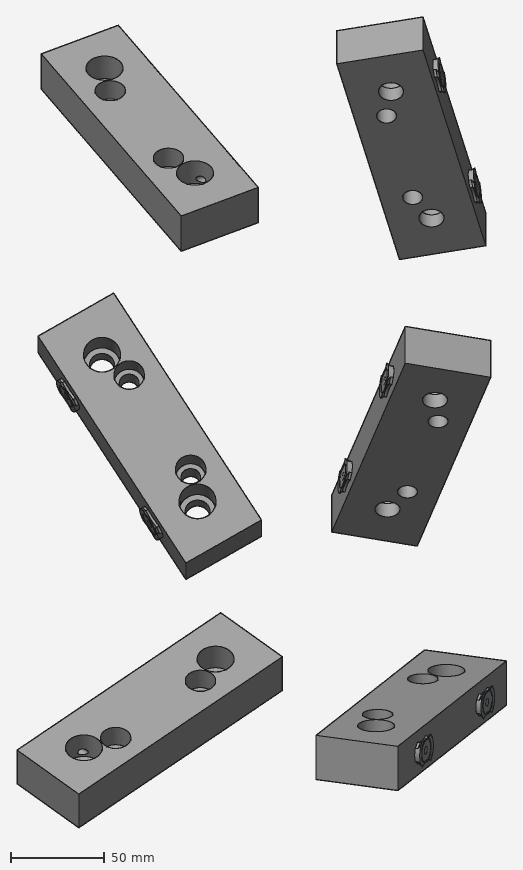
import cadquery as cq
import math

LENGTH = 152.4
BLOCK_WIDTH = 47.5
HEIGHT = 25.1
BACK_Y = BLOCK_WIDTH / 2
TOP_Z = HEIGHT / 2

LARGE_HOLE_X = 49.2
LARGE_HOLE_Y = 0.0
LARGE_HOLE_DIAMETER = 13.4
LARGE_BORE_DIAMETER = 19.8
LARGE_BORE_DEPTH = 16.0
SMALL_HOLE_X = 31.7
SMALL_HOLE_Y = -6.4
SMALL_HOLE_DIAMETER = 10.7
SMALL_BORE_DIAMETER = 16.3
SMALL_BORE_DEPTH = 13.0

KNOB_X = 43.0
KNOB_RADIUS = 9.6
KNOB_HEIGHT = 2.9
FLARE_HEIGHT = 1.4
FLARE_REACH = 1.0
WAIST_HEIGHT = KNOB_HEIGHT - FLARE_HEIGHT
CROSS_HOLE_DIAMETER = 4.3

HEAD_RADIUS = 6.5
HEAD_THICKNESS = 0.5
SHANK_LENGTH = 9.1

SCALLOP_RADIUS = 12.2
MAIN_SCALLOP_REACH = 4.9
SIDE_SCALLOP_REACH = 8.4
MAIN_SCALLOP_ANGLES = (90, 270)
SIDE_SCALLOP_ANGLES = (45, 135, 225, 315)

SIDES = (-1, 1)


def counterbored_cutter(x, y, hole_diameter, bore_diameter, bore_depth):
    """Through hole along Z with a counterbore open at the top face."""
    hole = cq.Workplane("XY").center(x, y).circle(hole_diameter / 2).extrude(HEIGHT, both=True)
    bore = cq.Workplane("XY", origin=(x, y, TOP_Z)).circle(bore_diameter / 2).extrude(-bore_depth)
    return hole.union(bore)


def cross_hole_cutter(x):
    """Hole along Y from the back face into the large counterbore."""
    back = cq.Workplane("XZ", origin=(x, BACK_Y, 0))
    return back.circle(CROSS_HOLE_DIAMETER / 2).extrude(BACK_Y - LARGE_HOLE_Y)


def make_block():
    block = cq.Workplane("XY").box(LENGTH, BLOCK_WIDTH, HEIGHT)
    for side in SIDES:
        block = block.cut(counterbored_cutter(
            side * LARGE_HOLE_X, LARGE_HOLE_Y, LARGE_HOLE_DIAMETER, LARGE_BORE_DIAMETER, LARGE_BORE_DEPTH))
        block = block.cut(counterbored_cutter(
            side * SMALL_HOLE_X, SMALL_HOLE_Y, SMALL_HOLE_DIAMETER, SMALL_BORE_DIAMETER, SMALL_BORE_DEPTH))
        block = block.cut(cross_hole_cutter(side * KNOB_X))
    return block


def scallop_cutter(angle, reach):
    """Cylinder along Y that narrows over the flare, so the knob widens towards its outer face."""
    distance = reach + SCALLOP_RADIUS
    x = distance * math.cos(math.radians(angle))
    z = distance * math.sin(math.radians(angle))
    profile = (
        cq.Workplane("XY")
        .lineTo(SCALLOP_RADIUS, 0)
        .lineTo(SCALLOP_RADIUS, WAIST_HEIGHT)
        .lineTo(SCALLOP_RADIUS - FLARE_REACH, KNOB_HEIGHT)
        .lineTo(0, KNOB_HEIGHT)
        .close()
    )
    return profile.revolve(360, (0, 0), (0, 1)).translate((x, 0, z))


def make_knob(x):
    """Disc on the back face, scalloped above, below and on its four diagonals."""
    knob = cq.Workplane("XZ").circle(KNOB_RADIUS).extrude(-KNOB_HEIGHT)
    for angle in MAIN_SCALLOP_ANGLES:
        knob = knob.cut(scallop_cutter(angle, MAIN_SCALLOP_REACH))
    for angle in SIDE_SCALLOP_ANGLES:
        knob = knob.cut(scallop_cutter(angle, SIDE_SCALLOP_REACH))
    return knob.translate((x, BACK_Y, 0)).cut(make_screw(x))


def make_screw(x):
    """Thin round head flush with the knob face, and a shank that fills the start of the cross hole."""
    face = cq.Workplane("XZ", origin=(x, BACK_Y + KNOB_HEIGHT, 0))
    head = face.circle(HEAD_RADIUS).extrude(HEAD_THICKNESS)
    shank = face.circle(CROSS_HOLE_DIAMETER / 2).extrude(SHANK_LENGTH)
    return head.union(shank)


block = make_block()
knobs = [make_knob(side * KNOB_X) for side in SIDES]
screws = [make_screw(side * KNOB_X) for side in SIDES]

result = cq.Compound.makeCompound([
    block.val(),
    *[knob.val() for knob in knobs],
    *[screw.val() for screw in screws],
])